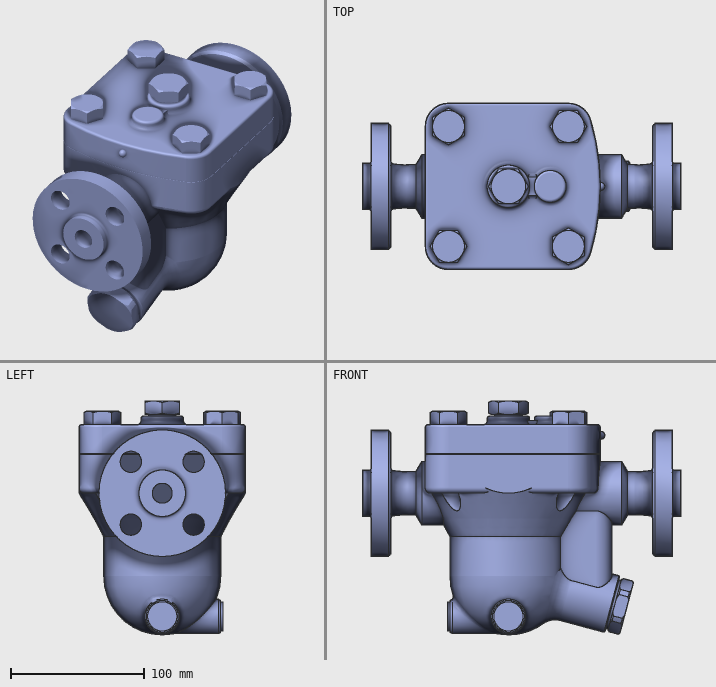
import cadquery as cq
import math


overlap = 1.0

half_width = 62.5
bolt_offset = 45.0
corner_radius = half_width - bolt_offset
bulge = 69.0
cover_top = 51.5
cover_bottom = 30.0
gasket_thickness = 0.8
gasket_inset = 0.25
body_top = cover_bottom - gasket_thickness
block_bottom = 0.0
cover_edge_fillet = 2.0
block_edge_fillet = 4.0

bowl_radius = 44.0
dome_center_z = -62.4
bowl_top = -32.6
cone_break_z = -19.0
cone_break_radius = 51.2
cone_top_z = 10.0
cone_slope = (half_width - cone_break_radius) / -cone_break_z
cone_top_radius = half_width + cone_slope * cone_top_z
nut_relief_diameter = 18.0
nut_relief_depth = 25.0

bolt_flats = 24.0
bolt_head_height = 10.2
plug_flats = 26.0
plug_bottom = 59.0
plug_top = 69.3
plug_neck_diameter = 21.0
hex_chamfer_rise = 1.2
boss_height = 6.5
boss_diameter = 32.0
small_boss_diameter = 24.0
small_boss_x = 31.4
boss_top_fillet = 2.0
boss_base_fillet = 3.0
bridge_width = 14.0
bridge_height = 3.2
pin_diameter = 6.0
pin_tip_x = 72.4
pin_length = 10.0
pin_z = 43.5

face_to_face = 239.0
pipe_mid_x = 10.0
half_length = face_to_face / 2
raised_face_height = 6.4
raised_face_diameter = 34.9
raised_face_fillet = 1.55
flange_diameter = 95.0
flange_thickness = 14.9
flange_chamfer = 2.0
hub_diameter = 34.0
hub_fillet = 2.0
hub_length = 7.0
neck_diameter = 33.0
weld_width = 6.5
weld_sink = 0.25
nozzle_diameter = 48.0
nozzle_cone_start = 75.0
nozzle_cone_length = 4.5
bolt_circle = 66.7
bolt_hole_count = 4
bolt_hole_diameter = 16.0
bore_diameter = 15.0
bore_depth = 45.0

rib_half_width = 20.0
rib_end_x = 77.8
rib_corner_radius = 12.0
rib_bottom_z = -82.4

branch_tilt = 15.0
branch_diameter = 44.0
branch_length = 80.8
branch_blend = 16.0
branch_end_chamfer = 0.7
cap_collar_diameter = 38.0
cap_hex_start = 82.6
cap_hex_end = 92.0
cap_flats = 38.0
cap_corner_diameter = 41.5
cap_corner_chamfer = 1.2

drain_z = -92.5
drain_diameter = 26.0
drain_tip_diameter = 24.0
drain_taper_length = 1.7
drain_plug_diameter = 22.0
drain_plug_height = 1.9
drain_reach = 45.7
drain_fillet = 3.0


def block_outline(inset=0.0):
    """Square with round corners whose +X side is an arc tangent to its two corners."""
    side = half_width - inset
    radius = corner_radius - inset
    crest = bulge - inset
    gap = crest - bolt_offset - radius
    arc_offset = (bolt_offset**2 - gap**2) / (2 * gap)
    angle = math.atan2(bolt_offset, arc_offset)
    join_x = bolt_offset + radius * math.cos(angle)
    join_y = bolt_offset + radius * math.sin(angle)
    mid_angle = (angle + math.pi / 2) / 2
    mid_x = bolt_offset + radius * math.cos(mid_angle)
    mid_y = bolt_offset + radius * math.sin(mid_angle)
    left_mid = bolt_offset + radius * math.sqrt(0.5)
    return (
        cq.Workplane("XY")
        .moveTo(-bolt_offset, -side)
        .lineTo(bolt_offset, -side)
        .threePointArc((mid_x, -mid_y), (join_x, -join_y))
        .threePointArc((crest, 0), (join_x, join_y))
        .threePointArc((mid_x, mid_y), (bolt_offset, side))
        .lineTo(-bolt_offset, side)
        .threePointArc((-left_mid, left_mid), (-side, bolt_offset))
        .lineTo(-side, -bolt_offset)
        .threePointArc((-left_mid, -left_mid), (-bolt_offset, -side))
        .close()
    )


def hexagon(flats, z_bottom, z_top, vertex_on_x=True, chamfer_bottom=False):
    """Hexagonal head whose corners are turned down to the flats at the end faces."""
    height = z_top - z_bottom
    corners = flats / math.cos(math.pi / 6)
    head = cq.Workplane("XY").polygon(6, corners).extrude(height)
    if not vertex_on_x:
        head = head.rotate((0, 0, 0), (0, 0, 1), 90)
    turned = cq.Workplane("XZ").moveTo(0, 0)
    if chamfer_bottom:
        turned = turned.lineTo(flats / 2, 0).lineTo(corners / 2, hex_chamfer_rise)
    else:
        turned = turned.lineTo(corners / 2, 0)
    turned = (
        turned
        .lineTo(corners / 2, height - hex_chamfer_rise)
        .lineTo(flats / 2, height)
        .lineTo(0, height)
        .close()
        .revolve(360, (0, 0, 0), (0, 1, 0))
    )
    return head.intersect(turned).translate((0, 0, z_bottom))


def cylinder(diameter, z_bottom, z_top):
    return cq.Workplane("XY").workplane(offset=z_bottom).circle(diameter / 2).extrude(z_top - z_bottom)


def make_cover():
    """Cover plate with two round bosses joined by a low bridge."""
    height = cover_top - cover_bottom
    plate = block_outline().extrude(height).translate((0, 0, cover_bottom))
    plate = plate.faces(">Z").edges().fillet(cover_edge_fillet)
    boss_top = cover_top + boss_height
    main_boss = cylinder(boss_diameter, cover_bottom + overlap, boss_top)
    small_boss = cylinder(small_boss_diameter, cover_bottom + overlap, boss_top)
    small_boss = small_boss.translate((small_boss_x, 0, 0))
    bridge = (
        cq.Workplane("XY")
        .box(small_boss_x, bridge_width, bridge_height + overlap, centered=(False, True, False))
        .translate((0, 0, cover_top - overlap))
    )
    cover = plate.union(main_boss.faces(">Z").edges().fillet(boss_top_fillet))
    cover = cover.union(small_boss.faces(">Z").edges().fillet(boss_top_fillet))
    cover = cover.union(bridge)
    tolerance = overlap / 10
    base_box = cq.selectors.BoxSelector(
        (-boss_diameter, -boss_diameter, cover_top - tolerance),
        (2 * small_boss_x, boss_diameter, cover_top + tolerance),
    )
    return cover.edges(base_box).fillet(boss_base_fillet)


def make_fittings():
    """Centre plug, cover bolts and the small pin in the +X side."""
    plug = hexagon(plug_flats, plug_bottom, plug_top, chamfer_bottom=True)
    fittings = plug.union(cylinder(plug_neck_diameter, cover_top, plug_bottom + overlap))
    head = (cover_top - overlap, cover_top + bolt_head_height)
    for x_sign in (-1, 1):
        for y_sign in (-1, 1):
            bolt = hexagon(bolt_flats, *head, vertex_on_x=(x_sign == y_sign))
            fittings = fittings.union(bolt.translate((x_sign * bolt_offset, y_sign * bolt_offset, 0)))
    pin_radius = pin_diameter / 2
    ball_x = pin_tip_x - pin_radius
    pin = (
        cq.Workplane("YZ")
        .workplane(offset=ball_x - pin_length)
        .center(0, pin_z)
        .circle(pin_radius)
        .extrude(pin_length)
    )
    ball = cq.Workplane("XY").sphere(pin_radius).translate((ball_x, 0, pin_z))
    return fittings.union(pin).union(ball)


def make_block():
    """Upper flange of the body with the slightly recessed gasket on it."""
    gasket = (
        block_outline(gasket_inset)
        .extrude(gasket_thickness)
        .translate((0, 0, body_top))
    )
    block = block_outline().extrude(body_top - block_bottom).translate((0, 0, block_bottom))
    block = block.faces("<Z").edges().fillet(block_edge_fillet)
    return block.union(gasket)


def make_bowl():
    """Domed bowl flaring to the block, relieved under the bolts, with two drain bosses."""
    profile = (
        cq.Workplane("XZ")
        .moveTo(0, dome_center_z - bowl_radius)
        .threePointArc(
            (bowl_radius * math.sqrt(0.5), dome_center_z - bowl_radius * math.sqrt(0.5)),
            (bowl_radius, dome_center_z),
        )
        .lineTo(bowl_radius, bowl_top)
        .lineTo(cone_break_radius, cone_break_z)
        .lineTo(cone_top_radius, cone_top_z)
        .lineTo(0, cone_top_z)
        .close()
    )
    bowl = profile.revolve(360, (0, 0, 0), (0, 1, 0))
    drain = make_drain()
    bowl = bowl.union(drain).edges("%BSPLINE").fillet(drain_fillet)
    bowl = bowl.union(drain.rotate((0, 0, 0), (0, 0, 1), 90))
    bottom = dome_center_z - bowl_radius - overlap
    envelope = block_outline().extrude(cone_top_z - bottom).translate((0, 0, bottom))
    bowl = bowl.intersect(envelope)
    for x_sign in (-1, 1):
        for y_sign in (-1, 1):
            relief = cylinder(nut_relief_diameter, block_bottom - nut_relief_depth, block_bottom)
            bowl = bowl.cut(relief.translate((x_sign * bolt_offset, y_sign * bolt_offset, 0)))
    return bowl


def make_drain():
    """Plugged boss pointing along -X."""
    taper_end = drain_reach - drain_plug_height
    profile = (
        cq.Workplane("XY")
        .moveTo(0, 0)
        .lineTo(0, drain_diameter / 2)
        .lineTo(-taper_end + drain_taper_length, drain_diameter / 2)
        .lineTo(-taper_end, drain_tip_diameter / 2)
        .lineTo(-taper_end, drain_plug_diameter / 2)
        .lineTo(-drain_reach, drain_plug_diameter / 2)
        .lineTo(-drain_reach, 0)
        .close()
    )
    return profile.revolve(360, (0, 0, 0), (1, 0, 0)).translate((0, 0, drain_z))


def make_rib():
    """Rounded rib from the outlet nozzle down to the strainer branch."""
    rib = (
        cq.Workplane("XY")
        .box(rib_end_x, 2 * rib_half_width, -rib_bottom_z, centered=(False, True, False))
        .edges("|Z and >X")
        .fillet(rib_corner_radius)
    )
    return rib.translate((0, 0, rib_bottom_z))


def make_branch():
    """Strainer branch built along +Z from the dome centre, then tilted into place."""
    radius = branch_diameter / 2
    blend_z = math.sqrt((bowl_radius + branch_blend)**2 - (radius + branch_blend)**2)
    blend_r = radius + branch_blend
    share = bowl_radius / (bowl_radius + branch_blend)
    mid_angle = math.pi + math.atan2(blend_z, blend_r) / 2
    branch = (
        cq.Workplane("XZ")
        .moveTo(0, 0)
        .lineTo(blend_r * share, blend_z * share)
        .threePointArc(
            (blend_r + branch_blend * math.cos(mid_angle), blend_z + branch_blend * math.sin(mid_angle)),
            (radius, blend_z),
        )
        .lineTo(radius, branch_length - branch_end_chamfer)
        .lineTo(radius - branch_end_chamfer, branch_length)
        .lineTo(0, branch_length)
        .close()
        .revolve(360, (0, 0, 0), (0, 1, 0))
    )
    collar = cylinder(cap_collar_diameter, branch_length - overlap, cap_hex_start + overlap)
    cap_corners = cap_flats / math.cos(math.pi / 6)
    cap = (
        cq.Workplane("XY")
        .workplane(offset=cap_hex_start)
        .polygon(6, cap_corners)
        .extrude(cap_hex_end - cap_hex_start)
    )
    turned = cylinder(cap_corner_diameter, cap_hex_start, cap_hex_end).edges().chamfer(cap_corner_chamfer)
    cap = cap.intersect(turned)
    branch = branch.union(collar).union(cap)
    return branch.rotate((0, 0, 0), (0, 1, 0), 90 + branch_tilt).translate((0, 0, dome_center_z))


def make_pipe():
    """Nozzle, neck and flange along +Z, starting at the middle of the face-to-face length."""
    face_r = raised_face_diameter / 2
    neck_r = neck_diameter / 2
    hub_r = hub_diameter / 2
    flange_r = flange_diameter / 2
    nozzle_r = nozzle_diameter / 2
    front = half_length - raised_face_height
    back = front - flange_thickness
    cone_end = nozzle_cone_start + nozzle_cone_length
    weld_end = back - hub_length
    bend = math.sqrt(0.5)
    pipe = (
        cq.Workplane("XZ")
        .moveTo(0, 0)
        .lineTo(nozzle_r, 0)
        .lineTo(nozzle_r, nozzle_cone_start)
        .lineTo(neck_r, cone_end)
        .lineTo(neck_r, weld_end - weld_width)
        .threePointArc((neck_r - weld_sink, weld_end - weld_width / 2), (neck_r, weld_end))
        .lineTo(hub_r, back - hub_fillet)
        .threePointArc((hub_r + hub_fillet * (1 - bend), back - hub_fillet * (1 - bend)),
                       (hub_r + hub_fillet, back))
        .lineTo(flange_r - flange_chamfer, back)
        .lineTo(flange_r, back + flange_chamfer)
        .lineTo(flange_r, front)
        .lineTo(face_r + raised_face_fillet, front)
        .threePointArc((face_r + raised_face_fillet * (1 - bend), front + raised_face_fillet * (1 - bend)),
                       (face_r, front + raised_face_fillet))
        .lineTo(face_r, half_length)
        .lineTo(0, half_length)
        .close()
        .revolve(360, (0, 0, 0), (0, 1, 0))
    )
    holes = (
        cq.Workplane("XY")
        .workplane(offset=back - overlap)
        .polarArray(bolt_circle / 2, 180 / bolt_hole_count, 360, bolt_hole_count)
        .circle(bolt_hole_diameter / 2)
        .extrude(flange_thickness + 2 * overlap)
    )
    bore = cylinder(bore_diameter, half_length - bore_depth, half_length)
    return pipe.cut(holes).cut(bore)


def make_pipes():
    outlet = make_pipe().rotate((0, 0, 0), (0, 1, 0), 90)
    inlet = outlet.mirror("YZ")
    return outlet.union(inlet).translate((pipe_mid_x, 0, 0))


result = make_block().union(make_bowl())
result = result.union(make_rib())
result = result.union(make_branch())
result = result.union(make_pipes())
result = result.union(make_cover())
result = result.union(make_fittings())